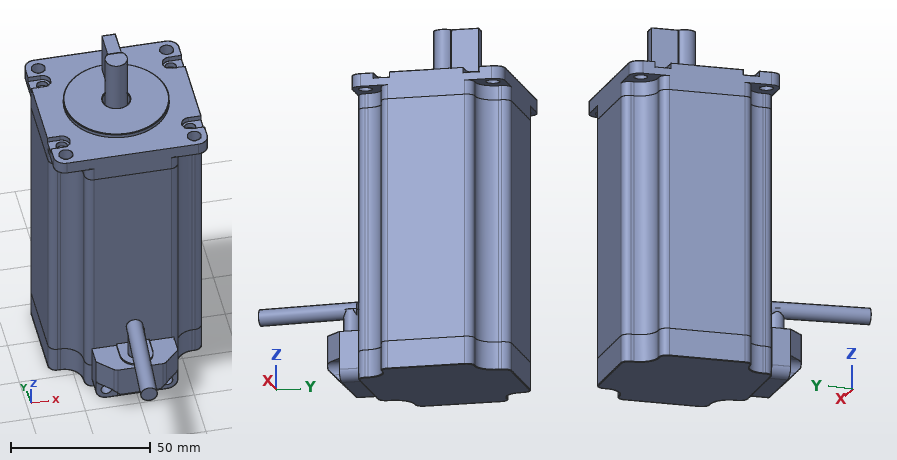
import cadquery as cq
import math

total_height = 131.0
flange_top = 110.0
flange_height = 10.0
plate_thickness = 4.7
rear_cover_height = 10.3
flange_bottom = flange_top - flange_height

body_width = 56.5
half_width = body_width / 2
scallop_center = 4.0
scallop_radius = 7.0
lobe_radius = 3.0
scallop_wall = scallop_center + scallop_radius
lobe_start = scallop_wall + lobe_radius

corner_radius = 4.0
mount_hole_diameter = 5.0
mount_hole_spacing = 47.2
boss_diameter = 38.1
boss_height = 1.6
bore_diameter = 10.0
rim_chamfer = 0.3

slot_width = 6.0
slot_depth = 2.0
slot_spacing_x = 47.2
slot_spacing_y = 33.1
slot_hole_diameter = 4.0
slot_hole_depth = 2.0

shaft_diameter = 8.0
key_width = 5.0
key_length = 10.0
key_height = 16.0
flat_offset = 2.9
key_gap = 0.3

connector_width = 30.1
connector_depth = 13.1
connector_bottom = 0.4
connector_top = 18.3
connector_height = connector_top - connector_bottom
connector_chamfer = 6.0
chamfer_blend_radius = 2.0
ear_size = 8.0
ear_radius = 3.9
ear_hole_diameter = 4.0

grommet_radius = 6.0
grommet_height = 0.7
grommet_top = connector_top + grommet_height
cable_diameter = 6.0
cable_axis_z = 29.7
cable_stem_y = -half_width - grommet_radius
cable_tilt = 4.0
cable_run_start_x = -0.1
cable_run_start_y = -half_width - 3.5
cable_end_y = -half_width - 40.6


def scalloped_prism(bottom, height):
    """Square prism with one rounded scallop at each vertical corner."""
    square = cq.Workplane("XY").workplane(offset=bottom).rect(body_width, body_width).extrude(height)
    return square.cut(corner_notches(bottom, height))


def corner_notches(bottom, height):
    """Material removed from the four corners, including the rounded lobes beside each scallop."""
    arc_offset = math.sqrt(0.5)
    lobe_mid = lobe_radius * (1 - arc_offset)
    scallop_mid = scallop_center + scallop_radius * arc_offset
    lobe_side = lobe_start - lobe_radius * arc_offset

    def corner(inset_x, inset_y):
        return (inset_x - half_width, inset_y - half_width)

    notch = (
        cq.Workplane("XY")
        .workplane(offset=bottom)
        .moveTo(*corner(0, 0))
        .lineTo(*corner(lobe_start, 0))
        .threePointArc(corner(lobe_side, lobe_mid), corner(scallop_wall, lobe_radius))
        .lineTo(*corner(scallop_wall, scallop_center))
        .threePointArc(corner(scallop_mid, scallop_mid), corner(scallop_center, scallop_wall))
        .lineTo(*corner(lobe_radius, scallop_wall))
        .threePointArc(corner(lobe_mid, lobe_side), corner(0, lobe_start))
        .close()
        .extrude(height)
    )
    notches = notch
    for quarter in range(1, 4):
        notches = notches.union(notch.rotate((0, 0, 0), (0, 0, 1), 90 * quarter))
    return notches


def make_flange():
    """Front cover: square plate on a scalloped foot, with a centring boss."""
    plate_bottom = flange_top - plate_thickness
    plate = (
        cq.Workplane("XY")
        .workplane(offset=plate_bottom)
        .rect(body_width, body_width)
        .extrude(plate_thickness)
        .edges("|Z")
        .fillet(corner_radius)
    )
    foot = scalloped_prism(flange_bottom, flange_height - plate_thickness)
    boss = cq.Workplane("XY").workplane(offset=flange_top).circle(boss_diameter / 2).extrude(boss_height)
    flange = plate.union(foot).union(boss)

    bore = (
        cq.Workplane("XY")
        .workplane(offset=flange_bottom)
        .circle(bore_diameter / 2)
        .extrude(flange_height + boss_height)
    )
    mount_holes = (
        cq.Workplane("XY")
        .workplane(offset=plate_bottom)
        .rect(mount_hole_spacing, mount_hole_spacing, forConstruction=True)
        .vertices()
        .circle(mount_hole_diameter / 2)
        .extrude(plate_thickness)
    )
    flange = flange.cut(bore).cut(mount_holes)
    flange = flange.faces(">Z").edges().chamfer(rim_chamfer)
    for side_x in (-1, 1):
        for side_y in (-1, 1):
            flange = flange.cut(screw_slot(side_x, side_y))
    return flange


def screw_slot(side_x, side_y):
    """Round-ended slot running out through the side, with a blind hole in its floor."""
    center_x = side_x * slot_spacing_x / 2
    center_y = side_y * slot_spacing_y / 2
    run_out = half_width - slot_spacing_x / 2
    floor = cq.Workplane("XY").workplane(offset=flange_top - slot_depth).center(center_x, center_y)
    round_end = floor.circle(slot_width / 2).extrude(slot_depth)
    channel = floor.center(side_x * run_out / 2, 0).rect(run_out, slot_width).extrude(slot_depth)
    hole = floor.circle(slot_hole_diameter / 2).extrude(-slot_hole_depth)
    return round_end.union(channel).union(hole)


def make_stator():
    return scalloped_prism(rear_cover_height, flange_bottom - rear_cover_height)


def make_rear_cover():
    cover = scalloped_prism(0, rear_cover_height)
    return cover.faces("<Z").edges().chamfer(rim_chamfer)


def make_shaft():
    """Round shaft standing on the stator, with a flat facing the key."""
    radius = shaft_diameter / 2
    shaft = (
        cq.Workplane("XY")
        .workplane(offset=flange_bottom)
        .circle(radius)
        .extrude(total_height - flange_bottom)
    )
    beyond_flat = (
        cq.Workplane("XY")
        .workplane(offset=total_height - key_height)
        .center(0, flat_offset + radius / 2)
        .rect(shaft_diameter, radius)
        .extrude(key_height)
    )
    return shaft.cut(beyond_flat)


def make_key():
    """Straight block in front of the shaft flat, level with the shaft end."""
    return (
        cq.Workplane("XY")
        .workplane(offset=total_height - key_height)
        .center(0, flat_offset + key_gap + key_length / 2)
        .rect(key_width, key_length)
        .extrude(key_height)
    )


def make_connector():
    """Connector block with bevelled front and two screw ears at the bottom."""
    connector = connector_block().intersect(connector_front_outline())
    for side in (-1, 1):
        connector = connector.cut(ear_pocket(side)).cut(ear_hole(side))
    return connector


def connector_block():
    """Block with bevels at both front corners and along the front bottom edge."""
    block = (
        cq.Workplane("XY")
        .workplane(offset=connector_bottom)
        .center(0, -half_width - connector_depth / 2)
        .rect(connector_width, connector_depth)
        .extrude(connector_height)
    )
    block = block.edges("|Z and <Y").chamfer(connector_chamfer)
    block = block.faces("<Y").edges("|Z").fillet(chamfer_blend_radius)
    front_y = -half_width - connector_depth
    bottom_bevel = (
        cq.Workplane("YZ")
        .workplane(offset=-connector_width / 2)
        .moveTo(front_y, connector_bottom)
        .lineTo(front_y + connector_chamfer, connector_bottom)
        .lineTo(front_y, connector_bottom + connector_chamfer)
        .close()
        .extrude(connector_width)
    )
    return block.cut(bottom_bevel)


def front_plane(depth):
    """Plane facing -Y at a given distance in front of the motor's -Y face."""
    return cq.Workplane("XZ", origin=(0, -half_width - depth, 0))


def connector_front_outline():
    """Front outline of the connector, rounded at its two lower corners, through its full depth."""
    return (
        front_plane(0)
        .center(0, connector_bottom + connector_height / 2)
        .rect(connector_width, connector_height)
        .extrude(connector_depth)
        .edges("|Y and <Z")
        .fillet(ear_radius)
    )


def ear_pocket(side):
    """Clearance in front of a screw ear, rounded at its inner upper corner."""
    center_x = side * (connector_width / 2 - ear_size / 2)
    inner_edge = "<X" if side > 0 else ">X"
    return (
        front_plane(connector_depth - connector_chamfer)
        .center(center_x, connector_bottom + ear_size / 2)
        .rect(ear_size, ear_size)
        .extrude(connector_chamfer)
        .edges("|Y and >Z")
        .edges(inner_edge)
        .fillet(ear_radius)
    )


def ear_hole(side):
    center_x = side * (connector_width / 2 - ear_radius)
    center_z = connector_bottom + ear_radius
    return front_plane(0).center(center_x, center_z).circle(ear_hole_diameter / 2).extrude(connector_depth)


def make_grommet():
    """Thin D-shaped pad between the connector and the cable."""
    return (
        cq.Workplane("XY")
        .workplane(offset=connector_top)
        .moveTo(-grommet_radius, -half_width)
        .lineTo(-grommet_radius, cable_stem_y)
        .threePointArc((0, cable_stem_y - grommet_radius), (grommet_radius, cable_stem_y))
        .lineTo(grommet_radius, -half_width)
        .close()
        .extrude(grommet_height)
    )


def make_cable_stem():
    """Upright stem from the grommet to the level of the cable run's axis."""
    return (
        cq.Workplane("XY")
        .workplane(offset=grommet_top)
        .center(0, cable_stem_y)
        .circle(cable_diameter / 2)
        .extrude(cable_axis_z - grommet_top)
    )


def make_cable_run():
    """Slightly turned horizontal run, notched where it sits over the stem."""
    tilt = math.radians(cable_tilt)
    radius = cable_diameter / 2
    end_center_y = cable_end_y + radius * math.sin(tilt)
    run_length = (cable_run_start_y - end_center_y) / math.cos(tilt)
    run_direction = cq.Vector(-math.sin(tilt), -math.cos(tilt), 0)
    run_start = cq.Vector(cable_run_start_x, cable_run_start_y, cable_axis_z)
    run = cq.Workplane(cq.Solid.makeCylinder(radius, run_length, run_start, run_direction))
    return run.cut(make_cable_stem())


flange = make_flange()
stator = make_stator()
rear_cover = make_rear_cover()
shaft = make_shaft()
key = make_key()
connector = make_connector()
grommet = make_grommet()
cable_stem = make_cable_stem()
cable_run = make_cable_run()

result = cq.Compound.makeCompound(
    [
        flange.solids().val(),
        stator.solids().val(),
        rear_cover.solids().val(),
        shaft.solids().val(),
        key.solids().val(),
        connector.solids().val(),
        grommet.solids().val(),
        cable_stem.solids().val(),
        cable_run.solids().val(),
    ]
)